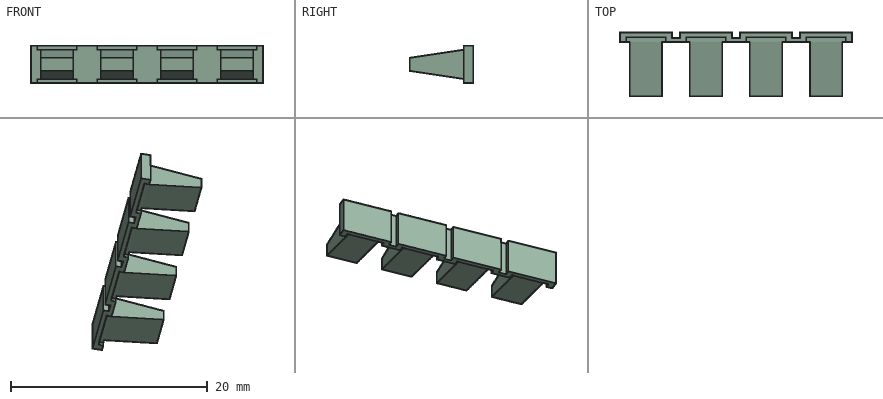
import cadquery as cq

strip_length = 23.6
strip_thickness = 1.0
strip_height = 3.8

segment_count = 4
segment_length = 5.3
notch_depth = 0.57
pitch = (strip_length - segment_length) / (segment_count - 1)
notch_width = pitch - segment_length

recess_length = 4.01
recess_depth = 0.5
recess_height = 0.4

tooth_width = 3.3
tooth_length = 6.5 - strip_thickness
tooth_root_height = strip_height - 2 * recess_height
tooth_tip_height = 1.35


def box_between_y(x_center, length, y_start, y_end, z_center, height):
    """Box centred in X and Z that spans y_start to y_end."""
    y_center = (y_start + y_end) / 2
    return cq.Workplane("XY").box(length, y_end - y_start, height).translate((x_center, y_center, z_center))


def tooth(x_center):
    """Symmetrically tapered tooth rooted on the front face of the strip."""
    root = tooth_root_height / 2
    tip = tooth_tip_height / 2
    return (
        cq.Workplane("YZ")
        .polyline([(0, -root), (0, root), (-tooth_length, tip), (-tooth_length, -tip)])
        .close()
        .extrude(tooth_width / 2, both=True)
        .translate((x_center, 0, 0))
    )


segment_centers = [(i - (segment_count - 1) / 2) * pitch for i in range(segment_count)]

result = box_between_y(0, strip_length, 0, strip_thickness, 0, strip_height)

for x in segment_centers[:-1]:
    notch_center = x + pitch / 2
    notch_floor = strip_thickness - notch_depth
    result = result.cut(
        box_between_y(notch_center, notch_width, notch_floor, strip_thickness, 0, strip_height)
    )

recess_center_z = (strip_height - recess_height) / 2
for x in segment_centers:
    for z in (-recess_center_z, recess_center_z):
        result = result.cut(box_between_y(x, recess_length, 0, recess_depth, z, recess_height))
    result = result.union(tooth(x))